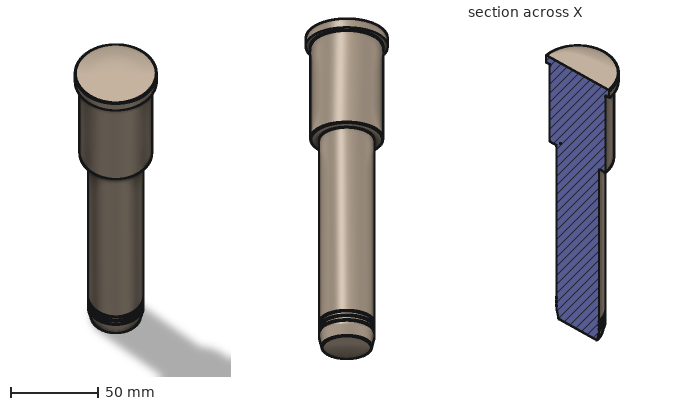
import cadquery as cq

total_length = 201.0
head_thickness = 6.0
shoulder_z = 134.7
tip_length = 7.0

head_radius = 23.5
body_radius = 21.0
pin_radius = 15.98
tip_end_radius = 14.5

head_chamfer = 0.6
body_chamfer = 0.6
tip_chamfer = 0.6
head_relief_width = 1.0
shoulder_relief_width = 0.6
shoulder_relief_depth = 0.2

ring_count = 3
ring_pitch = 3.0
first_ring_z = 9.0
ring_width = 1.0

head_underside_z = total_length - head_thickness


def cylinder(radius, bottom_z, top_z):
    """Solid cylinder on the Z axis."""
    return cq.Workplane("XY").workplane(offset=bottom_z).circle(radius).extrude(top_z - bottom_z)


def square_groove(outer_radius, depth, bottom_z, width):
    """Ring of material to remove from a cylinder of the given radius."""
    clear_radius = outer_radius + depth
    ring = cylinder(clear_radius, bottom_z, bottom_z + width)
    return ring.cut(cylinder(outer_radius - depth, bottom_z, bottom_z + width))


def vee_groove(outer_radius, bottom_z, width):
    """Ring of diamond section that leaves a 90-degree V groove in a cylinder."""
    half_width = width / 2
    return (
        cq.Workplane("XZ")
        .moveTo(outer_radius, bottom_z)
        .lineTo(outer_radius + half_width, bottom_z + half_width)
        .lineTo(outer_radius, bottom_z + width)
        .lineTo(outer_radius - half_width, bottom_z + half_width)
        .close()
        .revolve(360, (0, 0, 0), (0, 1, 0))
    )


def make_tip():
    """Conical tip with a small chamfer around its end face."""
    return (
        cq.Workplane("XZ")
        .moveTo(0, 0)
        .lineTo(tip_end_radius - tip_chamfer, 0)
        .lineTo(tip_end_radius, tip_chamfer)
        .lineTo(pin_radius, tip_length)
        .lineTo(0, tip_length)
        .close()
        .revolve(360, (0, 0, 0), (0, 1, 0))
    )


head = cylinder(head_radius, head_underside_z, total_length).faces(">Z").chamfer(head_chamfer)
body = cylinder(body_radius, shoulder_z, head_underside_z).faces("<Z").chamfer(body_chamfer)
pin = cylinder(pin_radius, tip_length, shoulder_z)

body = body.cut(vee_groove(body_radius, head_underside_z - head_relief_width, head_relief_width))
shoulder_relief_z = shoulder_z - shoulder_relief_width
pin = pin.cut(square_groove(pin_radius, shoulder_relief_depth, shoulder_relief_z, shoulder_relief_width))

for ring_index in range(ring_count):
    ring_z = first_ring_z + ring_index * ring_pitch
    pin = pin.cut(vee_groove(pin_radius, ring_z, ring_width))

result = head.union(body).union(pin).union(make_tip())